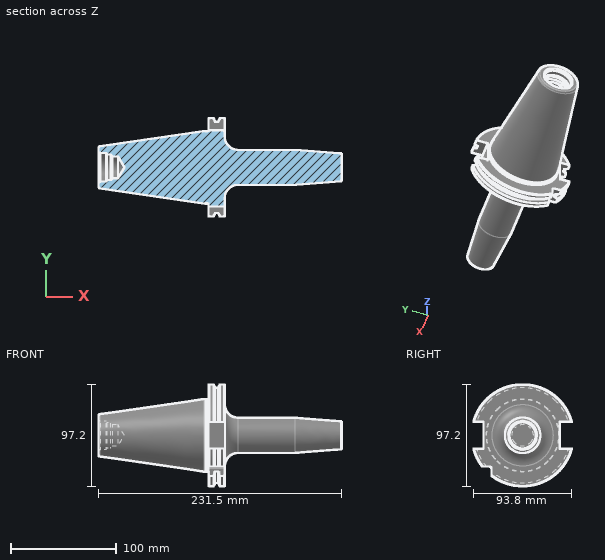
import cadquery as cq
import math

TOTAL_LENGTH = 231.5
TAPER_END = 100.5
FLANGE_START = 104.7
FLANGE_END = 120.5
NECK_START = 132.7
NOSE_START = 187.1

COLLAR_RADIUS = 34.7
TAPER_SLOPE = 7 / 48
TAPER_SMALL_RADIUS = COLLAR_RADIUS - TAPER_END * TAPER_SLOPE
TAPER_EDGE_ROUND = 1.9
RELIEF_START = 102.0
RELIEF_END = 103.3
RELIEF_DEPTH = 0.5

FLANGE_RADIUS = 48.6
FLANGE_EDGE_LENGTH = 1.0
FLANGE_EDGE_DEPTH = 0.5
GROOVE_CENTER = 112.5
GROOVE_TOP_WIDTH = 6.0
GROOVE_FLOOR_WIDTH = 2.8
GROOVE_DEPTH = 3.2

NECK_RADIUS = 17.0
NECK_FILLET = NECK_START - FLANGE_END
NOSE_RADIUS = 13.5
NOSE_CHAMFER = 1.0

SLOT_WIDTH = 25.5
SLOT_FLOOR_PLUS_Y = 35.5
SLOT_FLOOR_MINUS_Y = 37.3
NOTCH_Y = 29.6
NOTCH_Z = 29.9
NOTCH_FILLET = 1.9

MOUTH_RADIUS = 14.4
COUNTERBORE_RADIUS = 13.5
THREAD_RADIUS = 12.0
DRILL_RADIUS = 10.2
MOUTH_CHAMFER_DEPTH = 2.0
COUNTERBORE_DEPTH = 7.5
THREAD_START = 8.3
THREAD_END = 11.5
DRILL_START = 13.5
DRILL_END = 18.5
DRILL_HALF_ANGLE = math.radians(59)


def make_body():
    """Revolve the solid outer shape about X."""
    half_top = GROOVE_TOP_WIDTH / 2
    half_floor = GROOVE_FLOOR_WIDTH / 2
    relief_radius = COLLAR_RADIUS - RELIEF_DEPTH
    rim_radius = FLANGE_RADIUS - FLANGE_EDGE_DEPTH
    groove_radius = FLANGE_RADIUS - GROOVE_DEPTH
    arc_middle = NECK_FILLET * (1 - math.sqrt(0.5))
    profile = (
        cq.Workplane("XY")
        .lineTo(0, TAPER_SMALL_RADIUS)
        .lineTo(TAPER_END, COLLAR_RADIUS)
        .lineTo(RELIEF_START, COLLAR_RADIUS)
        .lineTo(RELIEF_START, relief_radius)
        .lineTo(RELIEF_END, relief_radius)
        .lineTo(RELIEF_END, COLLAR_RADIUS)
        .lineTo(FLANGE_START, COLLAR_RADIUS)
        .lineTo(FLANGE_START, rim_radius)
        .lineTo(FLANGE_START + FLANGE_EDGE_LENGTH, FLANGE_RADIUS)
        .lineTo(GROOVE_CENTER - half_top, FLANGE_RADIUS)
        .lineTo(GROOVE_CENTER - half_floor, groove_radius)
        .lineTo(GROOVE_CENTER + half_floor, groove_radius)
        .lineTo(GROOVE_CENTER + half_top, FLANGE_RADIUS)
        .lineTo(FLANGE_END - FLANGE_EDGE_LENGTH, FLANGE_RADIUS)
        .lineTo(FLANGE_END, rim_radius)
        .lineTo(FLANGE_END, NECK_RADIUS + NECK_FILLET)
        .threePointArc((FLANGE_END + arc_middle, NECK_RADIUS + arc_middle), (NECK_START, NECK_RADIUS))
        .lineTo(NOSE_START, NECK_RADIUS)
        .lineTo(TOTAL_LENGTH, NOSE_RADIUS)
        .lineTo(TOTAL_LENGTH, 0)
        .close()
    )
    body = profile.revolve(360, (0, 0, 0), (1, 0, 0))
    body = body.faces("<X").edges().fillet(TAPER_EDGE_ROUND)
    return body.faces(">X").edges().chamfer(NOSE_CHAMFER)


def make_bore():
    """Revolve the stepped bore with its conical drill bottom."""
    cone_length = DRILL_RADIUS / math.tan(DRILL_HALF_ANGLE)
    profile = (
        cq.Workplane("XY")
        .lineTo(0, MOUTH_RADIUS)
        .lineTo(MOUTH_CHAMFER_DEPTH, COUNTERBORE_RADIUS)
        .lineTo(COUNTERBORE_DEPTH, COUNTERBORE_RADIUS)
        .lineTo(THREAD_START, THREAD_RADIUS)
        .lineTo(THREAD_END, THREAD_RADIUS)
        .lineTo(DRILL_START, DRILL_RADIUS)
        .lineTo(DRILL_END, DRILL_RADIUS)
        .lineTo(DRILL_END + cone_length, 0)
        .close()
    )
    return profile.revolve(360, (0, 0, 0), (1, 0, 0))


def flange_cutter(y_near, y_far, z_low, z_high):
    """Box spanning the flange thickness between the given Y and Z limits."""
    return cq.Workplane("XY").box(
        FLANGE_END - FLANGE_START, y_far - y_near, z_high - z_low, centered=False
    ).translate((FLANGE_START, y_near, z_low))


def make_flange_cuts():
    """Two opposed drive slots of unequal depth and one corner notch."""
    half_slot = SLOT_WIDTH / 2
    plus_slot = flange_cutter(SLOT_FLOOR_PLUS_Y, FLANGE_RADIUS, -half_slot, half_slot)
    minus_slot = flange_cutter(-FLANGE_RADIUS, -SLOT_FLOOR_MINUS_Y, -half_slot, half_slot)
    notch = flange_cutter(-FLANGE_RADIUS, -NOTCH_Y, -FLANGE_RADIUS, -NOTCH_Z)
    notch = notch.edges("|X and >Y and >Z").fillet(NOTCH_FILLET)
    return plus_slot.union(minus_slot).union(notch)


result = make_body().cut(make_bore()).cut(make_flange_cuts())